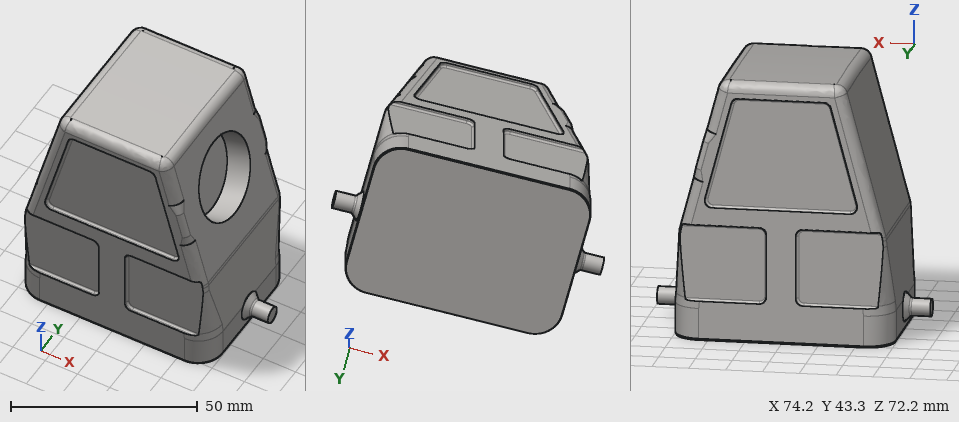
import cadquery as cq
import math

height = 72.2
depth = 43.25
half_depth = depth / 2
pin_span = 74.2

overlap = 3.7

base_length = 59.9
base_half = base_length / 2
skirt_height = 8.9
base_corner_radius = 7.6
bottom_chamfer_height = 0.5
bottom_chamfer_width = 0.2

knee_height = 30.0
knee_half = 28.05
knee_band = 0.9
upper_angle = math.radians(15)
upper_slope = math.tan(upper_angle)
edge_radius = 3.0
slanted_corner_radius = edge_radius / math.cos(upper_angle)

base_corner_top = 11.5
tight_corner_bottom = 27.8

crown_rise = 0.4

entry_height = 51.4
entry_diameter = 25.0
entry_depth = 7.4
entry_pad_thickness = 7.4
entry_pad_edge_radius = 1.6
entry_pad_length = 7.8
entry_pad_ramped_length = 13.9

panel_depth = 1.2
panel_corner_radius = 2.0
panel_floor_fillet = 0.6
upper_panel_bottom = 36.9
upper_panel_top = 67.4
upper_panel_bottom_half = 21.3
lower_panel_bottom = 10.8
lower_panel_top = 31.9
lower_panel_inner = 4.0

pin_diameter = 4.8
pin_height = 6.15
pin_root_diameter = 8.15
pin_root_fillet = 0.75


def wall_half(z):
    """Half length of the hood between its sloping end walls at height z."""
    if z <= skirt_height:
        return base_half
    if z <= knee_height:
        taper = (base_half - knee_half) / (knee_height - skirt_height)
        return base_half - (z - skirt_height) * taper
    return knee_half - (z - knee_height) * upper_slope


def rounded_rectangle(length, width, corner_radius, offset):
    """Rounded rectangle lifted by an offset along its normal."""
    outline = cq.Sketch().rect(length, width).vertices().fillet(corner_radius)
    return outline.moved(cq.Location(cq.Vector(0, 0, offset)))


def section(z, corner_radius):
    """Horizontal section of the hood at height z."""
    return rounded_rectangle(2 * wall_half(z), depth, corner_radius, z)


def ruled_block(*sections):
    """Solid with straight walls between successive sections."""
    return cq.Workplane("XY").placeSketch(*sections).loft(ruled=True)


def make_skirt():
    """Upright base with a small chamfer around its bottom edge."""
    skirt = cq.Workplane("XY").placeSketch(section(0, base_corner_radius)).extrude(skirt_height)
    return skirt.faces("<Z").chamfer(bottom_chamfer_height, bottom_chamfer_width)


def make_middle():
    """Tapered zone whose corners tighten from the skirt radius to the edge radius."""
    stations = [
        (skirt_height, base_corner_radius),
        (base_corner_top, base_corner_radius),
        (tight_corner_bottom, slanted_corner_radius),
        (knee_height - knee_band / 2, slanted_corner_radius),
        (knee_height + knee_band / 2, slanted_corner_radius),
    ]
    return ruled_block(*[section(z, radius) for z, radius in stations])


def make_crown():
    """Block whose upper face is gently arched across the depth."""
    return (
        cq.Workplane("YZ")
        .moveTo(-half_depth, 0)
        .lineTo(half_depth, 0)
        .lineTo(half_depth, height - crown_rise)
        .threePointArc((0, height), (-half_depth, height - crown_rise))
        .close()
        .extrude(base_half, both=True)
    )


def make_upper():
    """Steep upper part of the hood, closed by the arched and rounded top."""
    hood_start = knee_height + knee_band / 2
    hood = ruled_block(
        section(hood_start, slanted_corner_radius),
        section(height, slanted_corner_radius),
    )
    return hood.intersect(make_crown()).faces(">Z").edges().fillet(edge_radius)


def entry_plane():
    """Plane on the sloping +X wall, centred on the cable entry, facing outward."""
    return cq.Plane(
        origin=(wall_half(entry_height), 0, entry_height),
        xDir=(0, 1, 0),
        normal=(math.cos(upper_angle), 0, math.sin(upper_angle)),
    )


def make_entry_pad():
    """Stretch of the sloping wall at the cable entry with sharper side edges, ramped at both ends."""
    middle = entry_plane().toWorldCoords((0, 0, -entry_pad_thickness / 2))
    along_slope = cq.Plane(
        origin=middle,
        xDir=(0, 1, 0),
        normal=(-math.sin(upper_angle), 0, math.cos(upper_angle)),
    )
    stations = [
        (-entry_pad_ramped_length / 2, edge_radius),
        (-entry_pad_length / 2, entry_pad_edge_radius),
        (entry_pad_length / 2, entry_pad_edge_radius),
        (entry_pad_ramped_length / 2, edge_radius),
    ]
    sections = [rounded_rectangle(depth, entry_pad_thickness, radius, s) for s, radius in stations]
    return cq.Workplane(along_slope).placeSketch(*sections).loft(ruled=True)


def make_entry_hole():
    """Cutter for the blind cable entry, square to the sloping wall."""
    return cq.Workplane(entry_plane()).circle(entry_diameter / 2).extrude(-entry_depth)


def make_panel(points):
    """Cutter for a recess in the -Y side with rounded corners and floor edge."""
    panel = (
        cq.Workplane("XZ", origin=(0, -half_depth + panel_depth, 0))
        .polyline(points)
        .close()
        .extrude(panel_depth + overlap)
    )
    return panel.edges("|Y").fillet(panel_corner_radius).faces(">Y").edges().fillet(panel_floor_fillet)


def make_side_panels():
    """Cutters for the trapezoid panel and the two lower panels of the -Y side."""
    upper_panel_top_half = upper_panel_bottom_half - (upper_panel_top - upper_panel_bottom) * upper_slope
    upper = make_panel([
        (-upper_panel_bottom_half, upper_panel_bottom),
        (upper_panel_bottom_half, upper_panel_bottom),
        (upper_panel_top_half, upper_panel_top),
        (-upper_panel_top_half, upper_panel_top),
    ])
    lower_panel_outer = base_half + overlap
    lower = make_panel([
        (lower_panel_inner, lower_panel_bottom),
        (lower_panel_outer, lower_panel_bottom),
        (lower_panel_outer, lower_panel_top),
        (lower_panel_inner, lower_panel_top),
    ])
    return upper.union(lower).union(lower.mirror("YZ"))


def make_pin():
    """Pin on the +X end with a conical root, turned about its own axis."""
    pin_radius = pin_diameter / 2
    root_radius = pin_root_diameter / 2
    cone_length = root_radius - pin_radius
    pin = (
        cq.Workplane("XY")
        .moveTo(base_half - overlap, 0)
        .lineTo(pin_span / 2, 0)
        .lineTo(pin_span / 2, pin_radius)
        .lineTo(base_half + cone_length, pin_radius)
        .lineTo(base_half, root_radius)
        .lineTo(base_half - overlap, root_radius)
        .close()
        .revolve(360, (0, 0, 0), (1, 0, 0))
    )
    neck_x = base_half + cone_length
    neck = cq.selectors.BoxSelector(
        (neck_x - pin_root_fillet, -root_radius, -root_radius),
        (neck_x + pin_root_fillet, root_radius, root_radius),
    )
    return pin.edges("%CIRCLE").edges(neck).fillet(pin_root_fillet).translate((0, 0, pin_height))


body = make_skirt().union(make_middle()).union(make_upper()).union(make_entry_pad())
panels = make_side_panels()
body = body.cut(panels).cut(panels.mirror("XZ")).cut(make_entry_hole())
pin = make_pin()
result = body.union(pin).union(pin.mirror("YZ"))